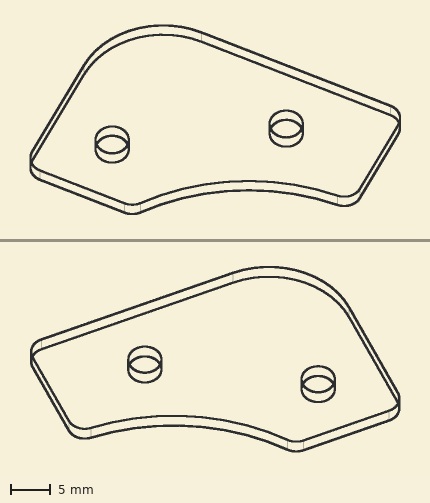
import cadquery as cq

length = 39.8
width = 28.4
thickness = 2.0

large_corner_radius = 11.1
small_corner_radius = 2.2

cutout_radius = 28.5
cutout_center = (39.0, -15.7)

hole_diameter = 4.2
hole_edge_distance = 8.3
upper_hole_x = 27.0
hole_centers = [
    (hole_edge_distance, hole_edge_distance),
    (upper_hole_x, width - hole_edge_distance),
]


def plate_blank():
    """Rectangular plate with the concave cutout, all corners still sharp."""
    plate = cq.Workplane("XY").box(length, width, thickness, centered=False)
    cutout = cq.Workplane("XY").center(*cutout_center).circle(cutout_radius).extrude(thickness)
    return plate.cut(cutout)


def round_corners(plate):
    """Large radius on the upper left corner, small radius on the other four."""
    upper_left = "(<X and >Y)"
    plate = plate.edges(f"|Z and (not {upper_left})").fillet(small_corner_radius)
    return plate.edges(upper_left).fillet(large_corner_radius)


def drill_holes(plate):
    """Both holes, straight through the plate."""
    drills = cq.Workplane("XY").pushPoints(hole_centers).circle(hole_diameter / 2).extrude(thickness)
    return plate.cut(drills)


result = drill_holes(round_corners(plate_blank()))